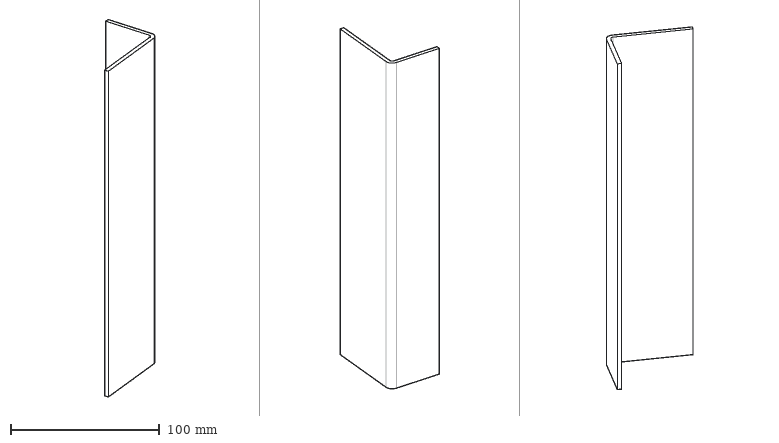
import cadquery as cq

length = 250.0
short_leg = 40.0
long_leg = 60.0
thickness = 3.0
inner_radius = 2.0
outer_radius = inner_radius + thickness

profile = (
    cq.Workplane("XY")
    .moveTo(0, long_leg)
    .lineTo(short_leg, long_leg)
    .lineTo(short_leg, 0)
    .lineTo(short_leg - thickness, 0)
    .lineTo(short_leg - thickness, long_leg - thickness)
    .lineTo(0, long_leg - thickness)
    .close()
)
angle = profile.extrude(length)


def round_edge(body, x, y, radius):
    """Round the vertical edge nearest to the point (x, y)."""
    edge = cq.selectors.NearestToPointSelector((x, y, length / 2))
    return body.edges(edge).fillet(radius)


angle = round_edge(angle, short_leg - thickness, long_leg - thickness, inner_radius)
result = round_edge(angle, short_leg, long_leg, outer_radius)